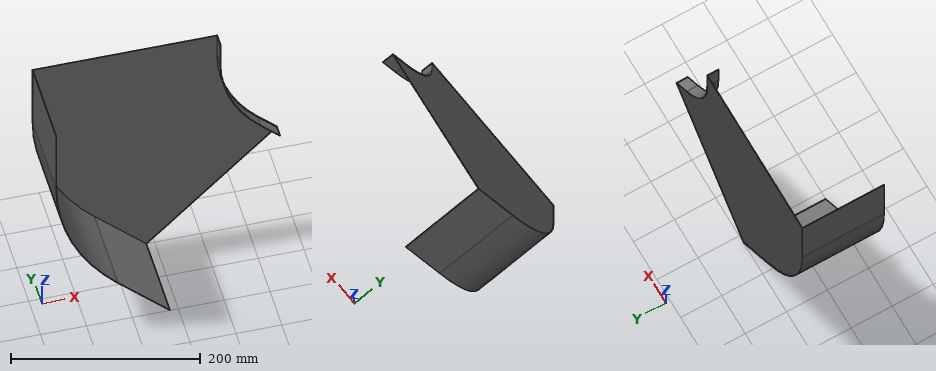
import cadquery as cq
import math

height = 299.5
width = 201.8
depth = 100.0
inner_wall_depth = 14.0
thickness = 0.8
bend_angle = math.radians(45)
outer_radius = 230.5
inner_radius = 149.7

half_bend_tangent = math.tan(bend_angle / 2)
outer_corner = height / (1 + math.cos(bend_angle))


def side_points(offset, radius):
    """Start, arc start, arc middle, arc end and end of a side at a distance from the outer face."""
    straight = outer_corner - (offset + radius) * half_bend_tangent
    arc_start_z = height - straight

    def on_arc(angle):
        return (
            offset + radius * (1 - math.cos(angle)),
            arc_start_z - radius * math.sin(angle),
        )

    arc_end = on_arc(bend_angle)
    end = (
        arc_end[0] + straight * math.sin(bend_angle),
        arc_end[1] - straight * math.cos(bend_angle),
    )
    return (offset, height), (offset, arc_start_z), on_arc(bend_angle / 2), arc_end, end


def bent_strip(left, right, strip_depth):
    """Extrude the strip between two sides forward (-Y) from the back plane."""
    start, arc_start, arc_middle, arc_end, end = left
    far_start, far_arc_start, far_arc_middle, far_arc_end, far_end = right
    return (
        cq.Workplane("XZ")
        .moveTo(*start)
        .lineTo(*arc_start)
        .threePointArc(arc_middle, arc_end)
        .lineTo(*end)
        .lineTo(*far_end)
        .lineTo(*far_arc_end)
        .threePointArc(far_arc_middle, far_arc_start)
        .lineTo(*far_start)
        .close()
        .extrude(strip_depth)
    )


outer_face = side_points(0, outer_radius)
outer_wall_inside = side_points(thickness, outer_radius - thickness)
inner_wall_inside = side_points(width - thickness, inner_radius + thickness)
inner_face = side_points(width, inner_radius)

base_plate = bent_strip(outer_face, inner_face, thickness)
outer_wall = bent_strip(outer_face, outer_wall_inside, depth)
inner_wall = bent_strip(inner_wall_inside, inner_face, inner_wall_depth)

result = base_plate.union(outer_wall).union(inner_wall)